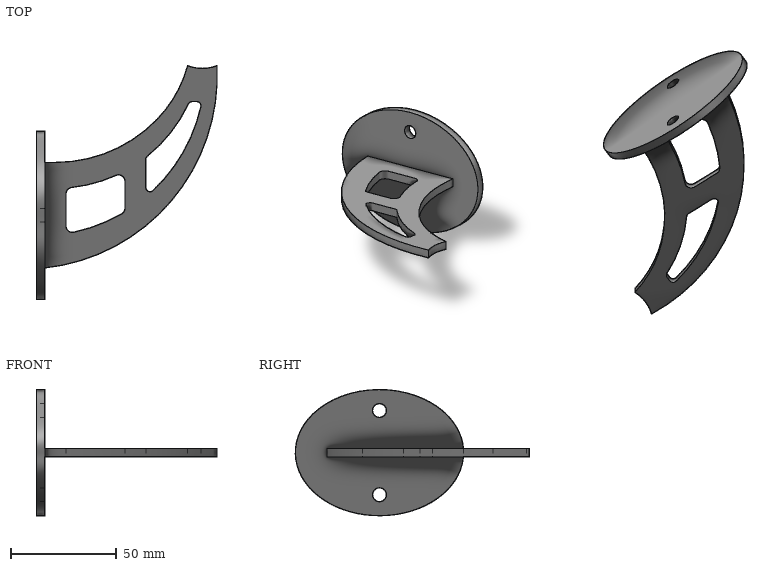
import cadquery as cq

plate_length = 80.1
plate_height = 60.0
plate_thickness = 4.0
screw_hole_diameter = 6.5
screw_hole_spacing = 40.0

arm_thickness = 4.0
arm_tip_x = 85.8
arm_tip_y = 71.2
arm_tip_width = 14.0
arm_outer_root_y = -25.0
arm_inner_root_y = 25.2
outer_edge_radius = 91.8
inner_edge_start_x = 9.2
inner_edge_joint = (57.5, 45.8)
tip_cradle_radius = 20.0

window_inner_center = (9.1, 82.5)
window_inner_radius = 69.7
window_outer_center = (1.3, 69.0)
window_outer_radius = 78.7
root_window_start_x = 14.1
root_window_end_x = 42.0
root_window_corner_radius = 3.0
tip_window_start_x = 52.0
tip_window_end_y = 54.0
tip_window_corner_radius = 2.0


def make_plate():
    """Oval plate with two screw holes, one above the other."""
    plate = (
        cq.Workplane("YZ")
        .ellipse(plate_length / 2, plate_height / 2)
        .extrude(plate_thickness)
    )
    holes = (
        cq.Workplane("YZ")
        .pushPoints([(0, -screw_hole_spacing / 2), (0, screw_hole_spacing / 2)])
        .circle(screw_hole_diameter / 2)
        .extrude(plate_thickness)
    )
    return plate.cut(holes)


def flat_sketch():
    """Workplane on the underside of the arm."""
    return cq.Workplane("XY").workplane(offset=-arm_thickness / 2)


def make_arm_blank():
    """Curved arm without windows, ending in a shallow cradle at the tip.

    The inner edge is a short straight run followed by two tangent arcs.
    """
    tip_inner_corner = (arm_tip_x - arm_tip_width, arm_tip_y)
    tip_outer_corner = (arm_tip_x, arm_tip_y)
    return (
        flat_sketch()
        .moveTo(plate_thickness, arm_outer_root_y)
        .lineTo(plate_thickness, arm_inner_root_y)
        .lineTo(inner_edge_start_x, arm_inner_root_y)
        .tangentArcPoint(inner_edge_joint, relative=False)
        .tangentArcPoint(tip_inner_corner, relative=False)
        .radiusArc(tip_outer_corner, -tip_cradle_radius)
        .radiusArc((plate_thickness, arm_outer_root_y), outer_edge_radius)
        .close()
        .extrude(arm_thickness)
    )


def make_disc(center, radius):
    """Disc as thick as the arm."""
    return flat_sketch().center(*center).circle(radius).extrude(arm_thickness)


def make_window(x_min, x_max, y_max, corner_radius):
    """Stretch of the curved window band between the given limits, with rounded corners."""
    outer_disc = make_disc(window_outer_center, window_outer_radius)
    inner_disc = make_disc(window_inner_center, window_inner_radius)
    y_min = window_outer_center[1] - window_outer_radius
    limits = (
        flat_sketch()
        .moveTo(x_min, y_min)
        .lineTo(x_max, y_min)
        .lineTo(x_max, y_max)
        .lineTo(x_min, y_max)
        .close()
        .extrude(arm_thickness)
    )
    window = limits.intersect(outer_disc).cut(inner_disc)
    return window.edges("|Z").fillet(corner_radius)


root_window = make_window(
    root_window_start_x, root_window_end_x, tip_window_end_y, root_window_corner_radius
)
tip_window = make_window(
    tip_window_start_x, arm_tip_x, tip_window_end_y, tip_window_corner_radius
)
arm = make_arm_blank().cut(root_window).cut(tip_window)
result = make_plate().union(arm)